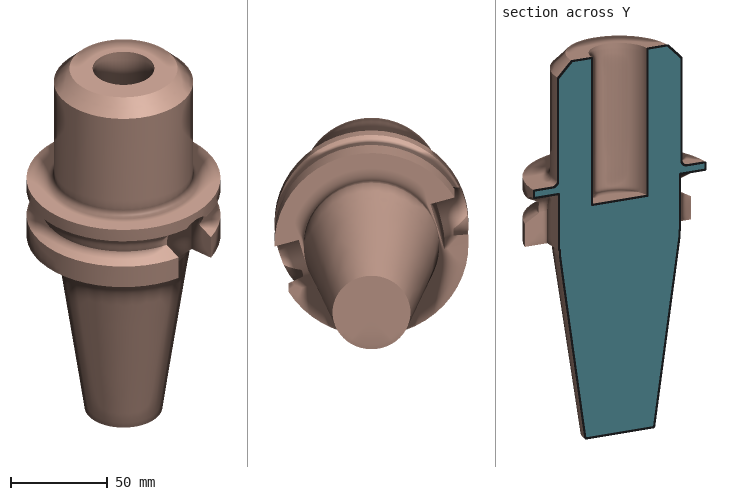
import cadquery as cq
import math

total_length = 206.8
gauge_height = 101.7
flange_bottom = 104.8
flange_top = 139.8

taper_ratio = 7 / 24
gauge_radius = 35.0
taper_small_radius = gauge_radius - gauge_height * taper_ratio / 2

flange_radius = 50.0
groove_radius = 42.4
groove_flank_angle = 30.0
groove_floor_bottom = 121.8
groove_floor_top = 128.5
flank_height = (flange_radius - groove_radius) * math.tan(math.radians(groove_flank_angle))

slot_width = 25.6
slot_floor = 35.4
slot_top = 135.5

nose_radius = 36.0
nose_chamfer = 8.0
nose_fillet = 3.0
bore_radius = 16.0
bore_depth = 80.0


def revolved_body():
    """Taper, flange and nose as one turned profile (radius, height)."""
    fillet_end = nose_radius + nose_fillet
    fillet_offset = nose_fillet * (1 - math.sqrt(0.5))
    profile = (
        cq.Workplane("XZ")
        .lineTo(taper_small_radius, 0)
        .lineTo(gauge_radius, gauge_height)
        .lineTo(gauge_radius, flange_bottom)
        .lineTo(flange_radius, flange_bottom)
        .lineTo(flange_radius, groove_floor_bottom - flank_height)
        .lineTo(groove_radius, groove_floor_bottom)
        .lineTo(groove_radius, groove_floor_top)
        .lineTo(flange_radius, groove_floor_top + flank_height)
        .lineTo(flange_radius, flange_top)
        .lineTo(fillet_end, flange_top)
        .threePointArc(
            (nose_radius + fillet_offset, flange_top + fillet_offset),
            (nose_radius, flange_top + nose_fillet),
        )
        .lineTo(nose_radius, total_length - nose_chamfer)
        .lineTo(nose_radius - nose_chamfer, total_length)
        .lineTo(0, total_length)
        .close()
    )
    return profile.revolve(360, (0, 0, 0), (0, 1, 0))


def drive_slot(side):
    """Cutter for a round-topped slot, open at the flange bottom; side is -1 or +1."""
    half_width = slot_width / 2
    arc_center = slot_top - half_width
    return (
        cq.Workplane("YZ", origin=(side * slot_floor, 0, 0))
        .moveTo(-half_width, flange_bottom)
        .lineTo(half_width, flange_bottom)
        .lineTo(half_width, arc_center)
        .threePointArc((0, slot_top), (-half_width, arc_center))
        .close()
        .extrude(side * (flange_radius - slot_floor))
    )


def bore():
    """Cutter for the blind tool bore in the nose."""
    return (
        cq.Workplane("XY", origin=(0, 0, total_length - bore_depth))
        .circle(bore_radius)
        .extrude(bore_depth)
    )


result = revolved_body().cut(bore())
for side in (-1, 1):
    result = result.cut(drive_slot(side))